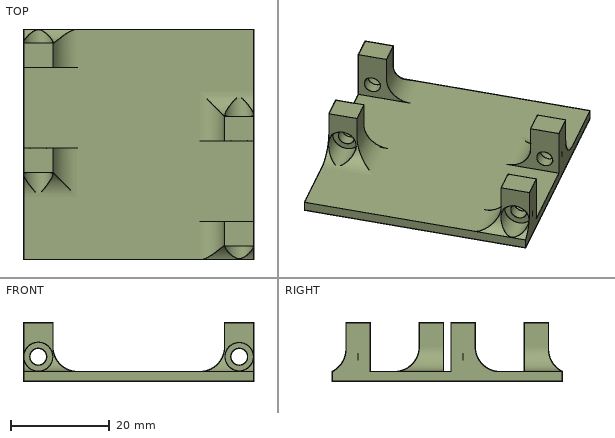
import cadquery as cq
import math

plate_side = 47.0
plate_thickness = 2.0
total_height = 12.0

post_width = 6.0
post_depth = 5.0
edge_post_inset = 2.8
inner_post_face = -5.75
fillet_radius = 5.0

hole_diameter = 3.4
left_bore_diameter = 5.9
right_bore_diameter = 5.8
bore_depth = 2.5
hole_height = 5.05

half_side = plate_side / 2
post_height = total_height - plate_thickness


def footed_wall(plane, thickness, reach, length):
    """Extruded wall with a concave foot that spreads outward by reach along the plate.

    Profile coordinates start at the wall's back face, at plate level. A reach below the
    fillet radius lowers the arc so that it still ends on the plate.
    """
    arc_height = math.sqrt(fillet_radius**2 - (fillet_radius - reach)**2)
    arc_centre = thickness + fillet_radius
    middle_angle = math.asin(arc_height / fillet_radius) / 2
    arc_middle = (
        arc_centre - fillet_radius * math.cos(middle_angle),
        arc_height - fillet_radius * math.sin(middle_angle),
    )
    return (
        cq.Workplane(plane)
        .moveTo(0, 0)
        .lineTo(0, post_height)
        .lineTo(thickness, post_height)
        .lineTo(thickness, arc_height)
        .threePointArc(arc_middle, (thickness + reach, 0))
        .close()
        .extrude(length)
    )


def cylinder_along_y(diameter, start, length):
    """Cylinder on the screw axis of a post at the origin."""
    return (
        cq.Workplane("XZ", origin=(post_width / 2, start, hole_height - plate_thickness))
        .circle(diameter / 2)
        .extrude(-length)
    )


def make_post(face_reach, bore_diameter):
    """Post at the origin: outer side on X = 0, screw face on Y = 0 facing -Y, foot on Z = 0."""
    side_plane = cq.Plane(origin=(0, post_depth, 0), xDir=(1, 0, 0), normal=(0, -1, 0))
    side_wall = footed_wall(side_plane, post_width, fillet_radius, post_depth + face_reach)
    face_plane = cq.Plane(origin=(0, post_depth, 0), xDir=(0, -1, 0), normal=(-1, 0, 0))
    face_wall = footed_wall(face_plane, post_depth, face_reach, -(post_width + fillet_radius))
    post = side_wall.intersect(face_wall)
    hole = cylinder_along_y(hole_diameter, -face_reach, post_depth + face_reach)
    bore = cylinder_along_y(bore_diameter, -face_reach, bore_depth + face_reach)
    return post.cut(hole).cut(bore)


plate = cq.Workplane("XY").box(
    plate_side, plate_side, plate_thickness, centered=(True, True, False)
)


def left_posts(bore_diameter):
    """The inner and edge posts in place on the left side, both bored to the given diameter."""
    inner_post = make_post(fillet_radius, bore_diameter).translate(
        (-half_side, inner_post_face, plate_thickness)
    )
    edge_post = (
        make_post(edge_post_inset, bore_diameter)
        .mirror("XZ")
        .translate((-half_side, half_side - edge_post_inset, plate_thickness))
    )
    return (inner_post, edge_post)


result = plate
for turn, bore_diameter in ((0, left_bore_diameter), (180, right_bore_diameter)):
    for post in left_posts(bore_diameter):
        result = result.union(post.rotate((0, 0, 0), (0, 0, 1), turn))